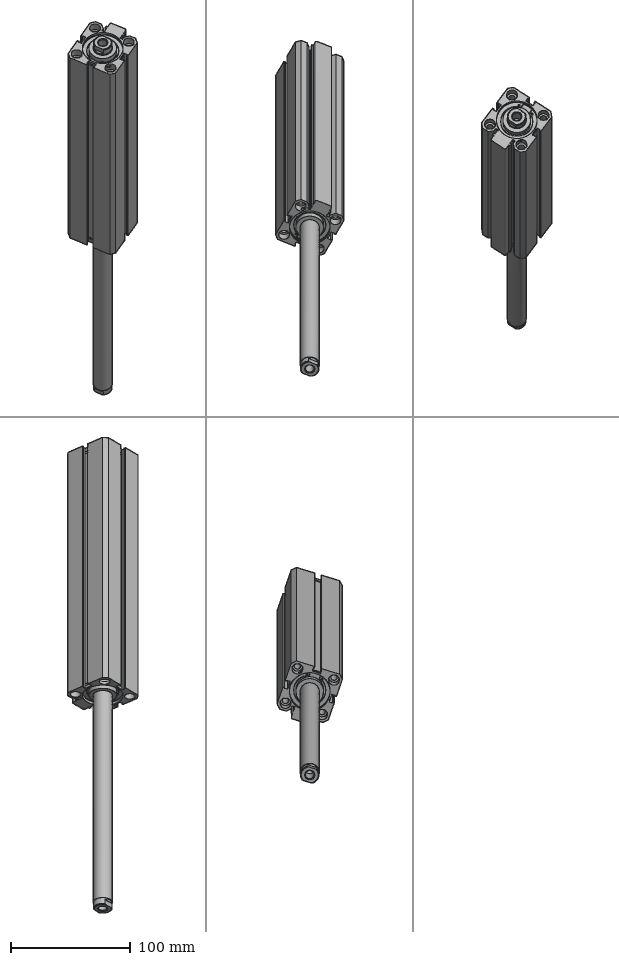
import cadquery as cq


total_length = 447.0
top_reach = 7.0
bottom_reach = 207.0
housing_length = total_length - top_reach - bottom_reach

housing_width = 45.0
half_width = housing_width / 2
total_depth = 50.0
rail_top = total_depth - half_width
rail_width = 15.0
rail_corner_radius = 1.5
rail_lip = 1.5
rail_lip_bottom = 20.5
notch_floor = 16.5
notch_outer_x = 10.0
notch_flare = 3.5
corner_chamfer = 3.5
bolt_offset = 16.0

bolt_hole_radius = 2.5
bolt_head_radius = 4.5
bolt_head_depth = 7.0

slot_width = 7.0
slot_mouth_width = 6.0
slot_lip = 1.5
slot_floor = 18.5

bore_radius = 15.0
seat_radius = 17.0
cap_length = 18.0
ring_depth = 3.0
ring_thickness = 2.0
ring_outer_radius = 18.0
ring_inner_radius = 13.5
ring_gap = 9.0
lug_circle_radius = 14.5
lug_angle = 27
lug_radius = 2.0
lug_hole_radius = 1.0
boss_radius = 11.5

rod_radius = 8.0
neck_step = 0.22
neck_length = 6.3
end_chamfer = 0.65
flat_spacing = 13.0
flat_length = 4.5
socket_radius = 3.5
socket_depth = 13.0
socket_tip_length = 2.2
socket_chamfer = 0.65


def cylinder(radius, bottom, height):
    return cq.Workplane("XY").workplane(offset=bottom).circle(radius).extrude(height)


def mirror_to_bottom(body):
    """Mirror a body from the top end of the housing to its bottom end."""
    return body.mirror("XY", (0, 0, housing_length / 2))


def box(x_min, x_max, y_min, y_max):
    """Full-length bar over the given rectangle."""
    return (
        cq.Workplane("XY")
        .center((x_min + x_max) / 2, (y_min + y_max) / 2)
        .rect(x_max - x_min, y_max - y_min)
        .extrude(housing_length)
    )


def make_profile():
    """Outer extrusion: chamfered square block with a rail on +Y and a notch at each side of it."""
    block = box(-half_width, half_width, -half_width, half_width)
    block = block.edges("|Z").chamfer(corner_chamfer)
    rail = box(-rail_width / 2, rail_width / 2, 0, rail_top).edges("|Z and >Y").fillet(rail_corner_radius)
    notch = make_notch()
    return block.union(rail).cut(notch).cut(notch.mirror("YZ"))


def make_notch():
    """Cutter for the +X notch: flared toward the bolt hole and undercut below the rail lip."""
    rail_x = rail_width / 2
    lip_x = rail_x + rail_lip
    return (
        cq.Workplane("XY")
        .moveTo(lip_x, half_width)
        .lineTo(lip_x, rail_lip_bottom)
        .lineTo(rail_x, rail_lip_bottom)
        .lineTo(rail_x, notch_floor)
        .lineTo(notch_outer_x, notch_floor)
        .lineTo(notch_outer_x, half_width - notch_flare)
        .lineTo(notch_outer_x + notch_flare, half_width)
        .close()
        .extrude(housing_length)
    )


def make_slot():
    """Cutter for the T-shaped sensor slot on the -Y side."""
    mouth = box(-slot_mouth_width / 2, slot_mouth_width / 2, -half_width, -slot_floor)
    pocket = box(-slot_width / 2, slot_width / 2, slot_lip - half_width, -slot_floor)
    return mouth.union(pocket)


def make_housing():
    housing = make_profile()
    for angle in (-90, 0, 90):
        housing = housing.cut(make_slot().rotate((0, 0, 0), (0, 0, 1), angle))

    housing = housing.cut(cylinder(bore_radius, 0, housing_length))
    seat = cylinder(seat_radius, housing_length - cap_length, cap_length)
    groove = cylinder(ring_outer_radius, housing_length - ring_depth - ring_thickness, ring_thickness)
    for cutter in (seat, groove):
        housing = housing.cut(cutter).cut(mirror_to_bottom(cutter))

    bolts = cq.Workplane("XY").rect(2 * bolt_offset, 2 * bolt_offset, forConstruction=True).vertices()
    holes = bolts.circle(bolt_hole_radius).extrude(housing_length)
    heads = bolts.circle(bolt_head_radius).extrude(bolt_head_depth)
    return housing.cut(holes).cut(heads).cut(mirror_to_bottom(heads))


def make_end_cap():
    """Top end cap: a flange below the retaining ring and a boss flush with the housing."""
    flange_top = housing_length - ring_depth - ring_thickness
    flange_bottom = housing_length - cap_length
    flange = cylinder(seat_radius, flange_bottom, flange_top - flange_bottom)
    boss = cylinder(boss_radius, flange_bottom, cap_length)
    return flange.union(boss).cut(cylinder(rod_radius, 0, housing_length))


def make_retaining_ring():
    """Top retaining ring, open toward -Y, with a drilled lug at each side of the gap."""
    bottom = housing_length - ring_depth - ring_thickness
    ring = cylinder(ring_outer_radius, bottom, ring_thickness)
    ring = ring.cut(cylinder(ring_inner_radius, bottom, ring_thickness))
    ring = ring.cut(box(-ring_gap / 2, ring_gap / 2, -half_width, 0))
    for angle in (-lug_angle, lug_angle):
        lug = cylinder(lug_radius, bottom, ring_thickness)
        lug_hole = cylinder(lug_hole_radius, bottom, ring_thickness)
        ring = ring.union(place_lug(lug, angle)).cut(place_lug(lug_hole, angle))
    return ring


def place_lug(body, angle):
    """Move a body from the axis to the lug circle, at an angle from -Y."""
    return body.translate((0, -lug_circle_radius, 0)).rotate((0, 0, 0), (0, 0, 1), angle)


def make_rod_end_cutter():
    """Cutter for the rod end at Z = 0: two flats with 45 degree run-outs and a drilled socket."""
    flat_y = flat_spacing / 2
    cutter_reach = 2 * rod_radius
    run_out = cutter_reach - flat_y
    flat = (
        cq.Workplane("YZ")
        .moveTo(flat_y, 0)
        .lineTo(cutter_reach, 0)
        .lineTo(cutter_reach, flat_length + run_out)
        .lineTo(flat_y, flat_length)
        .close()
        .extrude(cutter_reach, both=True)
    )
    socket = (
        cq.Workplane("XZ")
        .lineTo(socket_radius + socket_chamfer, 0)
        .lineTo(socket_radius, socket_chamfer)
        .lineTo(socket_radius, socket_depth)
        .lineTo(0, socket_depth + socket_tip_length)
        .close()
        .revolve(360, (0, 0, 0), (0, 1, 0))
    )
    return flat.union(flat.mirror("XZ")).union(socket)


def make_rod():
    """Rod with a slightly turned-down, chamfered neck at each end."""
    neck = cylinder(rod_radius - neck_step, -bottom_reach, total_length).edges("%CIRCLE").chamfer(end_chamfer)
    shaft = cylinder(rod_radius, neck_length - bottom_reach, total_length - 2 * neck_length)
    rod = shaft.union(neck)
    bottom_cutter = make_rod_end_cutter()
    top_cutter = bottom_cutter.mirror("XY").translate((0, 0, total_length))
    for cutter in (bottom_cutter, top_cutter):
        rod = rod.cut(cutter.translate((0, 0, -bottom_reach)))
    return rod


housing = make_housing().solids()
rod = make_rod().solids()
top_cap = make_end_cap().solids()
top_ring = make_retaining_ring().solids()
end_caps = [top_cap, mirror_to_bottom(top_cap)]
retaining_rings = [top_ring, mirror_to_bottom(top_ring)]

result = cq.Compound.makeCompound(
    [housing.val(), rod.val(), *[cap.val() for cap in end_caps], *[ring.val() for ring in retaining_rings]]
)